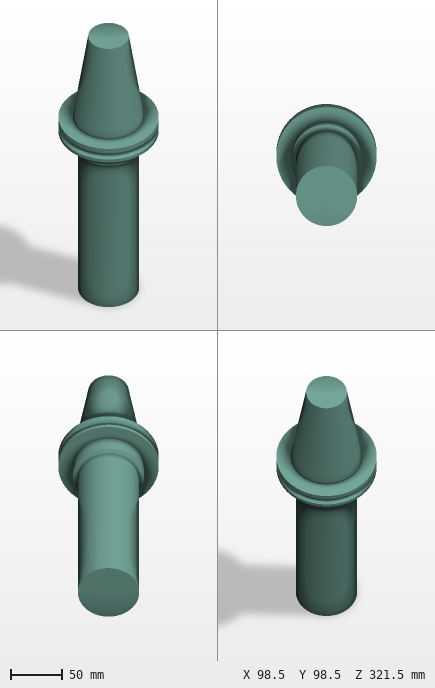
import cadquery as cq

total_length = 321.5
shank_diameter = 60.0
collar_diameter = 69.8
flange_diameter = 98.5
groove_diameter = 91.3
taper_tip_diameter = 40.0

collar_chamfer_bottom = 182.0
collar_chamfer_top = 185.0
flange_bottom = 201.0
groove_bottom = 205.0
groove_top = 213.0
flange_top = 218.5
taper_base = 220.3

groove_wall_height = 2.0

shank_radius = shank_diameter / 2
collar_radius = collar_diameter / 2
flange_radius = flange_diameter / 2
groove_radius = groove_diameter / 2
profile = [
    (0, 0),
    (shank_radius, 0),
    (shank_radius, collar_chamfer_bottom),
    (collar_radius, collar_chamfer_top),
    (collar_radius, flange_bottom),
    (flange_radius, flange_bottom),
    (flange_radius, groove_bottom),
    (groove_radius, groove_bottom + groove_wall_height),
    (groove_radius, groove_top - groove_wall_height),
    (flange_radius, groove_top),
    (flange_radius, flange_top),
    (collar_radius, flange_top),
    (collar_radius, taper_base),
    (taper_tip_diameter / 2, total_length),
    (0, total_length),
]

result = cq.Workplane("XZ").polyline(profile).close().revolve(360, (0, 0), (0, 1))